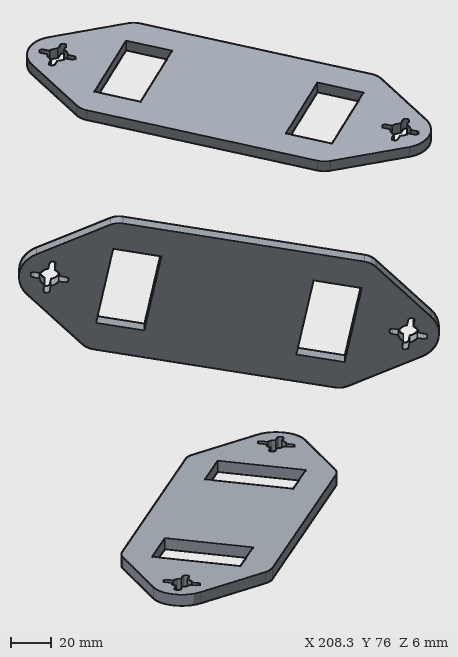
import cadquery as cq
import math

length = 208.3
width = 76.0
thickness = 6.0
end_radius = 15.0
corner_radius = 10.0
straight_edge_length = 120.0

window_length = 24.0
window_width = 44.5
window_spacing = 99.5

hub_diameter = 10.0
slot_length = 18.7
slot_width = 3.1

end_center_x = length / 2 - end_radius
corner_center_x = straight_edge_length / 2
corner_center_y = width / 2 - corner_radius

center_dx = end_center_x - corner_center_x
center_distance = math.hypot(center_dx, corner_center_y)
normal_angle = math.atan2(-corner_center_y, center_dx) + math.acos(
    (corner_radius - end_radius) / center_distance
)


def corner_point(angle):
    """Point on the rounded corner in the +X, +Y quadrant."""
    x = corner_center_x + corner_radius * math.cos(angle)
    y = corner_center_y + corner_radius * math.sin(angle)
    return x, y


def make_plate():
    """Elongated hexagonal plate with tangent rounded corners and ends."""
    edge_x, edge_y = corner_point(math.pi / 2)
    middle_x, middle_y = corner_point((math.pi / 2 + normal_angle) / 2)
    slope_x, slope_y = corner_point(normal_angle)
    end_x = end_center_x + end_radius * math.cos(normal_angle)
    end_y = end_radius * math.sin(normal_angle)
    tip_x = length / 2
    return (
        cq.Workplane("XY")
        .moveTo(-edge_x, edge_y)
        .lineTo(edge_x, edge_y)
        .threePointArc((middle_x, middle_y), (slope_x, slope_y))
        .lineTo(end_x, end_y)
        .threePointArc((tip_x, 0), (end_x, -end_y))
        .lineTo(slope_x, -slope_y)
        .threePointArc((middle_x, -middle_y), (edge_x, -edge_y))
        .lineTo(-edge_x, -edge_y)
        .threePointArc((-middle_x, -middle_y), (-slope_x, -slope_y))
        .lineTo(-end_x, -end_y)
        .threePointArc((-tip_x, 0), (-end_x, end_y))
        .lineTo(-slope_x, slope_y)
        .threePointArc((-middle_x, middle_y), (-edge_x, edge_y))
        .close()
        .extrude(thickness)
    )


def make_cross_cutter(x):
    """Round hub crossed by two perpendicular round-ended slots."""
    base = cq.Workplane("XY").center(x, 0)
    cutter = base.circle(hub_diameter / 2).extrude(thickness)
    for angle in (0, 90):
        cutter = cutter.union(base.slot2D(slot_length, slot_width, angle).extrude(thickness))
    return cutter


def make_window_cutter(x):
    """Rectangular opening through the plate."""
    return cq.Workplane("XY").center(x, 0).rect(window_length, window_width).extrude(thickness)


result = make_plate()
for side in (-1, 1):
    result = result.cut(make_cross_cutter(side * end_center_x))
    result = result.cut(make_window_cutter(side * window_spacing / 2))